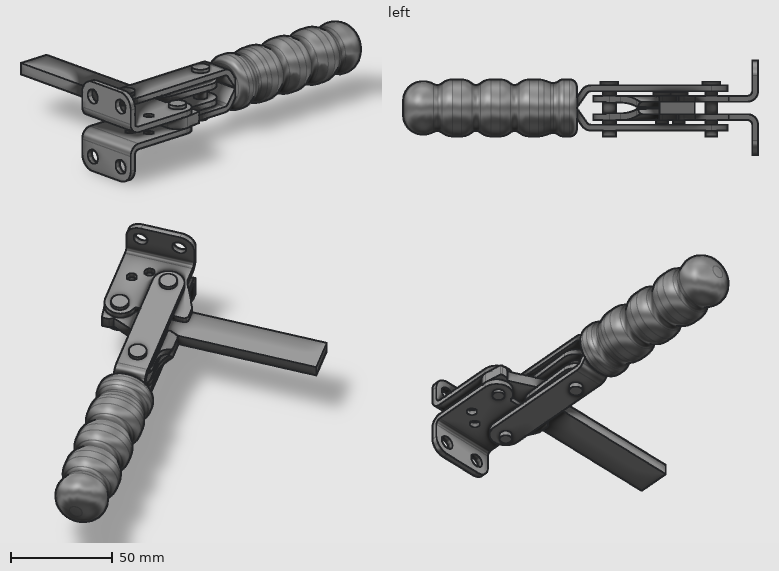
import cadquery as cq
import math


sheet = 3.0
arm_half = 3.0
plate_outer = arm_half + sheet
strap_inner = 8.2
strap_outer = strap_inner + sheet
strap_half_width = 8.0

lever_pivot = (0, 23.1)
link_pivot = (0, 47.4)
handle_pivot = (0, 73.4)
arm_pivot = (20, 39.1)
rivet_dia = 6.0
handle_rivet_dia = 6.7
rivet_head_dia = 8.8
rivet_head = 1.8
strap_rivet_tail = 2.9
plate_rivet_tail = 1.8
z_reach = 60.0

base_right = 28.0
base_left = -7.0
base_height = 46.8
bend_inner = 2.4
flange_corner = 7.4
flange_hole_dia = 7.2
flange_hole_x = (0.7, 20.7)
flange_hole_z = 15.8
shelf_y = 39.1
shelf_left = -14.9
shelf_corner = 2.3
slope_top_y = 31.1
slope_bottom_y = 14.5
lobe_radius = 8.0
lobe_y = 37.8
lobe_fillet = 1.0
plate_hole_dia = 5.0
plate_holes = ((12.5, 14.2), (19.9, 19.9))

arm_tip_x = -84.5
arm_bottom = 31.2
arm_top = 48.6
arm_heel_radius = 7.0
arm_boss_radius = 8.0
notch = (20.9, 46.6)
tooth_top = 48.0
tooth_left = 23.0
tooth_right = 26.6
tooth_corner = 0.8

link_top_radius = 8.0
link_lobe_radius = 7.0
wing_angle = 30.0
wing_bend_x = -8.1
wing_tip_x = -13.3
wing_bottom = 48.7
wing_slant_low = 58.1
wing_hollow_radius = 11.3
wing_tip_radius = 2.3
wing_corner_radius = 1.5
relief_top = 51.2

strap_bend_y = 82.45
strap_bend_angle = 55.0
strap_bend_inner = 2.4
tang_depth = 40.0

grip_bottom = 89.3
grip_top = 175.2
grip_radius = 14.15
waist_radius = 11.4
lobe_pitch = 19.0
top_lobe_y = 148.55
lobe_count = 3
lobe_flat = 4.4
neck_share = 0.29
knob_radius = 13.3
knob_round = 10.0
knob_join_y = 160.2
taper_angle = 19.0
taper_start_y = 105.8
taper_end_y = 102.6
neck_y = 101.05
collar_top = 95.8
collar_round = 3.75
collar_neck_share = 0.5


def rivet(center, dia, head_bottom, tail):
    """Headed rivet along Z; the head sits on head_bottom and the shank ends at -(head_bottom + tail)."""
    shank_end = -(head_bottom + tail)
    shank = cq.Workplane("XY", origin=(*center, shank_end)).circle(dia / 2).extrude(head_bottom - shank_end)
    head = cq.Workplane("XY", origin=(*center, head_bottom)).circle(rivet_head_dia / 2).extrude(rivet_head)
    return shank.union(head)


def pivot_hole(center, dia):
    return cq.Workplane("XY", origin=(*center, -z_reach / 2)).circle(dia / 2).extrude(z_reach)


def mirrored(half):
    """The half and its mirror image across Z = 0."""
    return half, half.mirror("XY")


def base_bend():
    """L-shaped sheet section in YZ, extruded over the whole width of the upper base half."""
    bend_outer = bend_inner + sheet
    section = (
        cq.Workplane("YZ", origin=(shelf_left, 0, 0))
        .moveTo(0, base_height / 2)
        .lineTo(0, arm_half + bend_outer)
        .radiusArc((bend_outer, arm_half), -bend_outer)
        .lineTo(lobe_y + lobe_radius, arm_half)
        .lineTo(lobe_y + lobe_radius, plate_outer)
        .lineTo(bend_outer, plate_outer)
        .radiusArc((sheet, plate_outer + bend_inner), bend_inner)
        .lineTo(sheet, base_height / 2)
        .close()
    )
    return section.extrude(base_right - shelf_left)


def base_outline():
    """Side-plate outline in XY."""
    lobe_x = base_right - lobe_radius
    lobe_end_x = lobe_x - math.sqrt(lobe_radius**2 - (shelf_y - lobe_y) ** 2)
    outline = (
        cq.Workplane("XY", origin=(0, 0, -z_reach / 2))
        .moveTo(base_left, 0)
        .lineTo(base_right, 0)
        .lineTo(base_right, lobe_y)
        .threePointArc((lobe_x, lobe_y + lobe_radius), (lobe_end_x, shelf_y))
        .lineTo(shelf_left, shelf_y)
        .lineTo(shelf_left, slope_top_y)
        .lineTo(base_left, slope_bottom_y)
        .close()
        .extrude(z_reach)
    )
    shelf_end = cq.selectors.NearestToPointSelector((shelf_left, shelf_y, 0))
    lobe_foot = cq.selectors.NearestToPointSelector((lobe_end_x, shelf_y, 0))
    return outline.edges(shelf_end).fillet(shelf_corner).edges(lobe_foot).fillet(lobe_fillet)


def make_base():
    half = base_bend().intersect(base_outline())
    half = half.edges("|Y and >Z").fillet(flange_corner)
    flange_points = [(x, flange_hole_z) for x in flange_hole_x]
    flange_holes = (
        cq.Workplane("XZ", origin=(0, sheet, 0))
        .pushPoints(flange_points)
        .circle(flange_hole_dia / 2)
        .extrude(sheet)
    )
    plate_cut = cq.Workplane("XY").pushPoints(plate_holes).circle(plate_hole_dia / 2).extrude(z_reach)
    half = half.cut(flange_holes).cut(plate_cut)
    upper, lower = mirrored(half)
    body = upper.union(rivet(arm_pivot, rivet_dia, plate_outer, plate_rivet_tail))
    body = body.union(rivet(lever_pivot, rivet_dia, strap_outer, strap_rivet_tail))
    return body.union(lower)


def make_arm():
    """Flat bar with a boss at the link pivot, a rounded heel and a stop tooth."""
    to_notch_x = notch[0] - link_pivot[0]
    to_notch_y = notch[1] - link_pivot[1]
    reach = math.hypot(to_notch_x, to_notch_y)
    normal = math.atan2(to_notch_y, to_notch_x) + math.acos(arm_boss_radius / reach)
    tangent = (
        link_pivot[0] + arm_boss_radius * math.cos(normal),
        link_pivot[1] + arm_boss_radius * math.sin(normal),
    )
    bar = (
        cq.Workplane("XY", origin=(0, 0, -arm_half))
        .moveTo(arm_tip_x, arm_bottom)
        .lineTo(base_right - arm_heel_radius, arm_bottom)
        .radiusArc((base_right, arm_bottom + arm_heel_radius), -arm_heel_radius)
        .lineTo(tooth_right, tooth_top)
        .lineTo(tooth_left, tooth_top)
        .lineTo(*notch)
        .lineTo(*tangent)
        .lineTo(link_pivot[0], arm_top)
        .lineTo(arm_tip_x, arm_top)
        .close()
        .extrude(2 * arm_half)
    )
    for corner_x in (tooth_left, tooth_right):
        corner = cq.selectors.NearestToPointSelector((corner_x, tooth_top, 0))
        bar = bar.edges(corner).fillet(tooth_corner)
    boss = cq.Workplane("XY", origin=(*link_pivot, -arm_half)).circle(arm_boss_radius).extrude(2 * arm_half)
    body = bar.union(boss)
    return body.cut(pivot_hole(arm_pivot, rivet_dia)).cut(pivot_hole(link_pivot, rivet_dia))


def link_section():
    """Upper link sheet in XZ with its wing bent inwards, extruded over the link length."""
    angle = math.radians(wing_angle)
    drop = (wing_bend_x - wing_tip_x) * math.tan(angle)
    inner_bend_x = wing_bend_x + sheet * math.tan(angle / 2)
    tip = (wing_tip_x, plate_outer - drop)
    tip_inner = (tip[0] + sheet * math.sin(angle), tip[1] - sheet * math.cos(angle))
    points = [
        (link_top_radius, arm_half),
        (inner_bend_x, arm_half),
        tip_inner,
        tip,
        (wing_bend_x, plate_outer),
        (link_top_radius, plate_outer),
    ]
    length = handle_pivot[1] + link_top_radius
    return cq.Workplane("XZ").polyline(points).close().extrude(-length)


def link_outline():
    """Link outline in XY: round top, slanted wing on the left, narrower round lobe at the bottom."""
    top_y = handle_pivot[1]
    lobe_center_y = link_pivot[1]
    slant_high = wing_slant_low - link_top_radius - wing_tip_x
    outline = (
        cq.Workplane("XY")
        .moveTo(link_top_radius, top_y)
        .threePointArc((0, top_y + link_top_radius), (-link_top_radius, top_y))
        .lineTo(-link_top_radius, slant_high)
        .lineTo(wing_tip_x, wing_slant_low)
        .lineTo(wing_tip_x, wing_bottom)
        .lineTo(wing_bend_x - wing_corner_radius, wing_bottom)
        .radiusArc((wing_bend_x, wing_bottom + wing_corner_radius), -wing_corner_radius)
        .lineTo(-link_lobe_radius, relief_top)
        .lineTo(-link_lobe_radius, lobe_center_y)
        .threePointArc((0, lobe_center_y - link_lobe_radius), (link_lobe_radius, lobe_center_y))
        .close()
        .extrude(z_reach)
    )
    hollow = cq.selectors.NearestToPointSelector((-link_top_radius, slant_high, z_reach / 2))
    tip = cq.selectors.NearestToPointSelector((wing_tip_x, wing_slant_low, z_reach / 2))
    return outline.edges(hollow).fillet(wing_hollow_radius).edges(tip).fillet(wing_tip_radius)


def make_link():
    upper, lower = mirrored(link_section().intersect(link_outline()))
    body = upper.union(rivet(link_pivot, rivet_dia, plate_outer, plate_rivet_tail))
    body = body.union(rivet(handle_pivot, handle_rivet_dia, strap_outer, strap_rivet_tail))
    return body.union(lower)


def make_lever():
    """Two straps that turn in to meet as one tang inside the grip."""
    angle = math.radians(strap_bend_angle)
    bend_outer = strap_bend_inner + sheet
    center_y = strap_bend_y
    center_z = strap_inner - strap_bend_inner

    def bend_point(radius, turn):
        return (center_y + radius * math.sin(turn), center_z + radius * math.cos(turn))

    def slope_end(radius, z):
        """Where the sloped face at this bend radius comes down to height z."""
        y_start, z_start = bend_point(radius, angle)
        return (y_start + (z_start - z) / math.tan(angle), z)

    tang_end = grip_bottom + tang_depth
    section = (
        cq.Workplane("YZ", origin=(-strap_half_width, 0, 0))
        .moveTo(lever_pivot[1], strap_outer)
        .lineTo(center_y, strap_outer)
        .threePointArc(bend_point(bend_outer, angle / 2), bend_point(bend_outer, angle))
        .lineTo(*slope_end(bend_outer, sheet))
        .lineTo(tang_end, sheet)
        .lineTo(tang_end, 0)
        .lineTo(*slope_end(strap_bend_inner, 0))
        .lineTo(*bend_point(strap_bend_inner, angle))
        .threePointArc(bend_point(strap_bend_inner, angle / 2), (center_y, strap_inner))
        .lineTo(lever_pivot[1], strap_inner)
        .close()
    )
    round_end = cq.Workplane("XY", origin=(*lever_pivot, strap_inner)).circle(strap_half_width).extrude(sheet)
    half = section.extrude(2 * strap_half_width).union(round_end)
    upper, lower = mirrored(half)
    body = upper.union(lower)
    return body.cut(pivot_hole(lever_pivot, rivet_dia)).cut(pivot_hole(handle_pivot, handle_rivet_dia))


def arc_to(profile, center, radius, start, end):
    """Adds an arc about center, from the start angle to the end angle in degrees."""
    def at(degrees):
        turn = math.radians(degrees)
        return (center[0] + radius * math.cos(turn), center[1] + radius * math.sin(turn))

    return profile.threePointArc(at((start + end) / 2), at(end))


def waist_curve(profile, lobe_y, waist_y, waist_r, hollow_share, towards_waist):
    """S-curve of two tangent arcs between a lobe edge at grip_radius and a waist at waist_r."""
    rise = abs(lobe_y - waist_y)
    depth = grip_radius - waist_r
    swing = 2 * math.degrees(math.atan(depth / rise))
    both_radii = rise / math.sin(math.radians(swing))
    hollow_r = hollow_share * both_radii
    crown_r = both_radii - hollow_r
    crown = (grip_radius - crown_r, lobe_y)
    hollow = (waist_r + hollow_r, waist_y)
    side = math.copysign(swing, waist_y - lobe_y)
    if towards_waist:
        profile = arc_to(profile, crown, crown_r, 0, side)
        return arc_to(profile, hollow, hollow_r, 180 + side, 180)
    profile = arc_to(profile, hollow, hollow_r, 180, 180 + side)
    return arc_to(profile, crown, crown_r, side, 0)


def grip_profile():
    """Half section of the grip, radius along X, from the top down."""
    knob_center = (knob_radius - knob_round, grip_top - knob_round)
    knob_turn = math.degrees(math.asin((knob_join_y - knob_center[1]) / knob_round))
    waist_y = top_lobe_y + lobe_pitch / 2
    hollow_r = (knob_join_y - waist_y) / math.sin(math.radians(-knob_turn))
    profile = cq.Workplane("XY").moveTo(0, grip_top).lineTo(knob_center[0], grip_top)
    profile = arc_to(profile, knob_center, knob_round, 90, knob_turn)
    profile = arc_to(profile, (waist_radius + hollow_r, waist_y), hollow_r, 180 + knob_turn, 180)

    for index in range(lobe_count):
        center_y = top_lobe_y - index * lobe_pitch
        upper_edge = center_y + lobe_flat / 2
        lower_edge = center_y - lobe_flat / 2
        profile = waist_curve(profile, upper_edge, center_y + lobe_pitch / 2, waist_radius, neck_share, False)
        profile = profile.lineTo(grip_radius, lower_edge)
        if index < lobe_count - 1:
            profile = waist_curve(
                profile, lower_edge, center_y - lobe_pitch / 2, waist_radius, neck_share, True
            )

    taper = math.radians(taper_angle)
    crown_r = (lower_edge - taper_start_y) / math.sin(taper)
    taper_start_r = grip_radius - crown_r * (1 - math.cos(taper))
    taper_end_r = taper_start_r - (taper_start_y - taper_end_y) * math.tan(taper)
    neck_hollow = (taper_end_y - neck_y) / math.sin(taper)
    neck_r = taper_end_r - neck_hollow * (1 - math.cos(taper))
    profile = arc_to(profile, (grip_radius - crown_r, lower_edge), crown_r, 0, -taper_angle)
    profile = profile.lineTo(taper_end_r, taper_end_y)
    profile = arc_to(profile, (neck_r + neck_hollow, neck_y), neck_hollow, 180 - taper_angle, 180)
    profile = waist_curve(profile, collar_top, neck_y, neck_r, collar_neck_share, False)
    profile = profile.lineTo(grip_radius, grip_bottom + collar_round)
    collar_center = (grip_radius - collar_round, grip_bottom + collar_round)
    profile = arc_to(profile, collar_center, collar_round, 0, -90)
    return profile.lineTo(0, grip_bottom).close()


def make_grip(lever):
    solid = grip_profile().revolve(360, (0, 0, 0), (0, 1, 0))
    return solid.cut(lever)


base = make_base()
arm = make_arm()
link = make_link()
lever = make_lever()
grip = make_grip(lever)

result = cq.Compound.makeCompound([base.val(), arm.val(), link.val(), lever.val(), grip.val()])